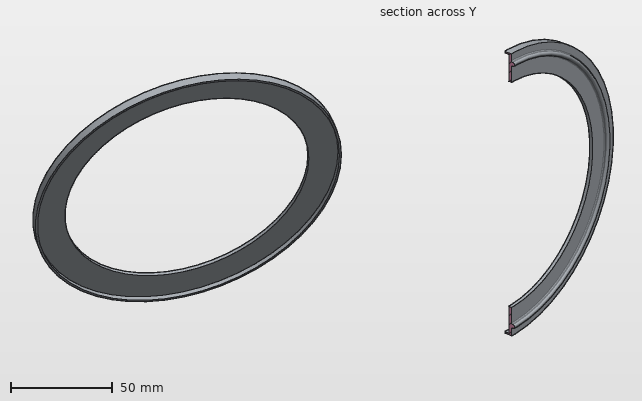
import cadquery as cq

ring_outer_diameter = 157.2
ring_inner_diameter = 125.2
total_thickness = 6.4

rim_inner_diameter = 155.0
web_thickness = 2.0

bead_outer_diameter = 148.4
bead_inner_diameter = 143.6
bead_height = 2.0
bead_root_fillet = 0.5

ring_thickness = total_thickness - bead_height
bead_outer_radius = bead_outer_diameter / 2
bead_inner_radius = bead_inner_diameter / 2
bead_middle_radius = (bead_outer_radius + bead_inner_radius) / 2
crest_radius = (bead_outer_radius - bead_inner_radius) / 2

crest_x = -total_thickness / 2
crest_center_x = crest_x + crest_radius
front_face_x = crest_x + bead_height
web_back_x = front_face_x + web_thickness
web_middle_x = front_face_x + web_thickness / 2


def make_ring():
    """Flat ring spanning the rim's full depth."""
    return (
        cq.Workplane("YZ", origin=(front_face_x, 0, 0))
        .circle(ring_outer_diameter / 2)
        .circle(ring_inner_diameter / 2)
        .extrude(ring_thickness)
    )


def make_back_recess():
    """Disc removed from the +X side, leaving the thin web and the outer rim."""
    recess_depth = ring_thickness - web_thickness
    return (
        cq.Workplane("YZ", origin=(web_back_x, 0, 0))
        .circle(rim_inner_diameter / 2)
        .extrude(recess_depth)
    )


def make_bead():
    """Bead section with concave root fillets, revolved about X and rooted halfway into the web."""
    fillet_start_x = front_face_x - bead_root_fillet
    root_inner_radius = bead_inner_radius - bead_root_fillet
    root_outer_radius = bead_outer_radius + bead_root_fillet
    return (
        cq.Workplane("XY")
        .moveTo(web_middle_x, root_inner_radius)
        .lineTo(front_face_x, root_inner_radius)
        .radiusArc((fillet_start_x, bead_inner_radius), -bead_root_fillet)
        .lineTo(crest_center_x, bead_inner_radius)
        .threePointArc((crest_x, bead_middle_radius), (crest_center_x, bead_outer_radius))
        .lineTo(fillet_start_x, bead_outer_radius)
        .radiusArc((front_face_x, root_outer_radius), -bead_root_fillet)
        .lineTo(web_middle_x, root_outer_radius)
        .close()
        .revolve(360, (0, 0, 0), (1, 0, 0))
    )


result = make_ring().cut(make_back_recess()).union(make_bead())